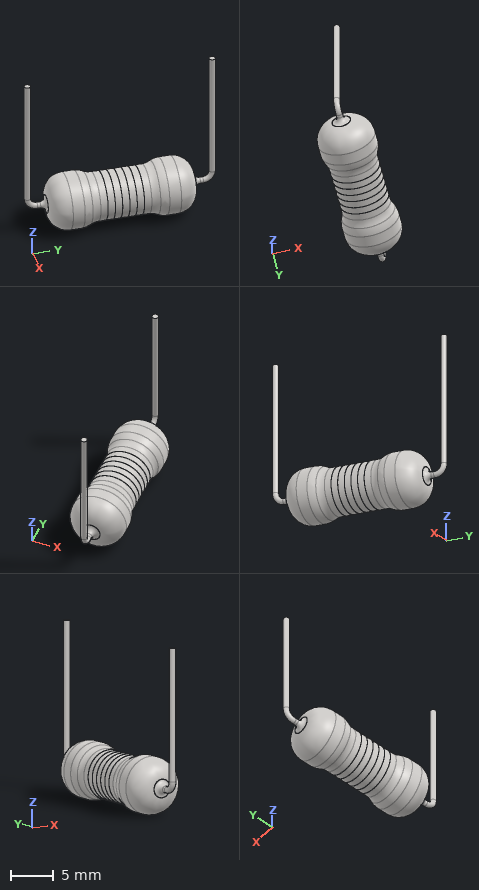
import cadquery as cq
import math

overall_length = 23.3
overall_height = 20.6
cap_radius = 3.5
lead_radius = 0.4
lead_bend_radius = 1.16

body_half_length = 9.0
dome_radius = 2.4
collar_radius = 0.72
shoulder_start = 5.15
waist_diameter = 5.96
groove_diameter = 5.95
band_count = 7
bands_half_length = 3.1

lead_y = overall_length / 2 - lead_radius
lead_top = overall_height - cap_radius
waist_radius = waist_diameter / 2
band_width = 2 * bands_half_length / band_count


def half_body():
    """Revolved half of the body on the +Y side, including the lead collar."""
    dome_start = body_half_length - dome_radius
    dome_diagonal = dome_radius * math.sqrt(0.5)
    collar_diagonal = collar_radius * (1 - math.sqrt(0.5))
    collar_end = body_half_length + collar_radius

    shoulder_middle = (shoulder_start + bands_half_length) / 2
    shoulder_middle_radius = (cap_radius + waist_radius) / 2

    profile = (
        cq.Workplane("XY")
        .lineTo(waist_radius, 0)
        .lineTo(waist_radius, bands_half_length)
        .tangentArcPoint((shoulder_middle_radius, shoulder_middle), relative=False)
        .tangentArcPoint((cap_radius, shoulder_start), relative=False)
        .lineTo(cap_radius, dome_start)
        .threePointArc(
            (cap_radius - dome_radius + dome_diagonal, dome_start + dome_diagonal),
            (cap_radius - dome_radius, body_half_length),
        )
        .lineTo(lead_radius + collar_radius, body_half_length)
        .threePointArc(
            (lead_radius + collar_diagonal, body_half_length + collar_diagonal),
            (lead_radius, collar_end),
        )
        .lineTo(0, collar_end)
        .close()
    )
    return profile.revolve(360, (0, 0, 0), (0, 1, 0))


def band_groove(start):
    """Ring cutter for one of the slightly recessed bands around the waist."""
    ring = cq.Workplane("XZ", origin=(0, start + band_width, 0)).circle(cap_radius).circle(groove_diameter / 2)
    return ring.extrude(band_width)


def lead():
    """Wire leaving the +Y end of the body and bending up to +Z."""
    bend_start = lead_y - lead_bend_radius
    bend_diagonal = lead_bend_radius * math.sqrt(0.5)
    path = (
        cq.Workplane("YZ")
        .moveTo(body_half_length, 0)
        .lineTo(bend_start, 0)
        .threePointArc(
            (bend_start + bend_diagonal, lead_bend_radius - bend_diagonal),
            (lead_y, lead_bend_radius),
        )
        .lineTo(lead_y, lead_top)
    )
    return cq.Workplane("XZ", origin=(0, body_half_length, 0)).circle(lead_radius).sweep(path)


half = half_body().union(lead())
result = half.union(half.mirror("XZ"))

for index in range(1, band_count, 2):
    result = result.cut(band_groove(-bands_half_length + index * band_width))